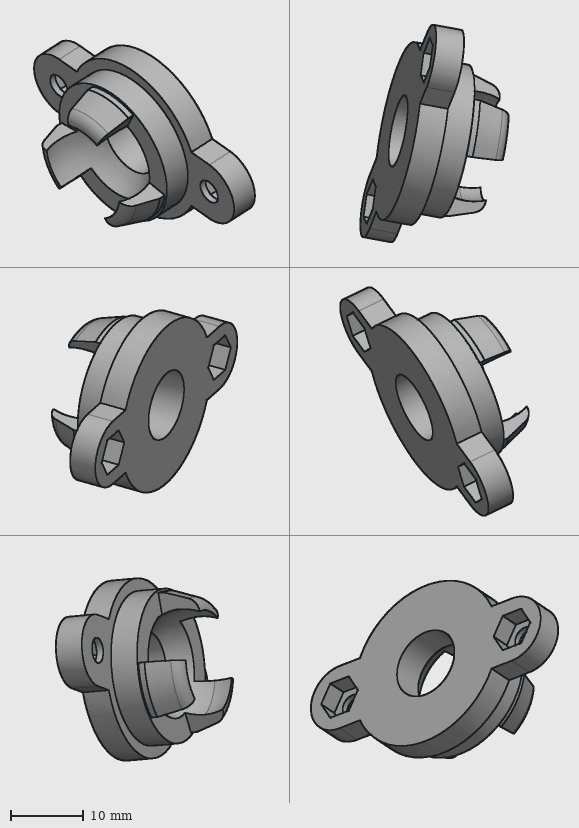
import cadquery as cq
import math

overall_length = 40.0
ear_radius = 5.0
ear_center = overall_length / 2 - ear_radius
ear_hole_diameter = 3.5
nut_width = 5.5
nut_pocket_depth = 3.0
flange_diameter = 25.0
flange_thickness = 4.0

boss_diameter = 21.5
boss_height = 4.0
bore_diameter = 10.0
boss_face = flange_thickness + boss_height

prong_count = 3
prong_length = 5.75
prong_root_radius = 10.4
prong_straight = 0.9
prong_taper_angle = 18.0
prong_tip_round = 2.0
prong_span_angle = 46.0

socket_radius = 7.85
socket_depth = boss_face + prong_length / 2


def make_nut_pockets():
    """Hexagonal pockets open at the flange back, with two corners along X."""
    nut_corner_diameter = nut_width / math.cos(math.pi / 6)
    pocket = (
        cq.Workplane("XZ")
        .polygon(6, nut_corner_diameter)
        .extrude(nut_pocket_depth)
    )
    left_pocket = pocket.translate((-ear_center, 0, 0))
    right_pocket = pocket.translate((ear_center, 0, 0))
    return left_pocket.union(right_pocket)


def make_flange():
    plate = cq.Workplane("XZ").circle(flange_diameter / 2).extrude(flange_thickness)
    ears = (
        cq.Workplane("XZ")
        .slot2D(overall_length, 2 * ear_radius)
        .extrude(flange_thickness)
    )
    holes = (
        cq.Workplane("XZ")
        .pushPoints([(-ear_center, 0), (ear_center, 0)])
        .circle(ear_hole_diameter / 2)
        .extrude(flange_thickness)
    )
    return plate.union(ears).cut(holes).cut(make_nut_pockets())


def make_boss():
    return (
        cq.Workplane("XZ", origin=(0, -flange_thickness, 0))
        .circle(boss_diameter / 2)
        .extrude(boss_height)
    )


def make_prong_blank():
    """Sector of a tapered, round-nosed body, centered on +Z; its root starts at the boss back."""
    taper = math.radians(prong_taper_angle)
    tip = boss_face + prong_length
    taper_start = boss_face + prong_straight

    arc_center_depth = tip - prong_tip_round
    arc_start_depth = arc_center_depth + prong_tip_round * math.sin(taper)
    arc_start_radius = prong_root_radius - (arc_start_depth - taper_start) * math.tan(taper)
    arc_center_radius = arc_start_radius - prong_tip_round * math.cos(taper)
    arc_middle = (taper + math.pi / 2) / 2
    arc_middle_point = (
        arc_center_radius + prong_tip_round * math.cos(arc_middle),
        -arc_center_depth - prong_tip_round * math.sin(arc_middle),
    )

    return (
        cq.Workplane("XY")
        .moveTo(0, -flange_thickness)
        .lineTo(prong_root_radius, -flange_thickness)
        .lineTo(prong_root_radius, -taper_start)
        .lineTo(arc_start_radius, -arc_start_depth)
        .threePointArc(arc_middle_point, (arc_center_radius, -tip))
        .lineTo(0, -tip)
        .close()
        .revolve(prong_span_angle, (0, 0, 0), (0, 1, 0))
        .rotate((0, 0, 0), (0, 1, 0), -90 - prong_span_angle / 2)
    )


def make_socket():
    bore = cq.Workplane("XZ").circle(bore_diameter / 2).extrude(socket_depth)
    sphere = cq.Workplane("XY").sphere(socket_radius).translate((0, -socket_depth, 0))
    return bore.union(sphere)


result = make_flange().union(make_boss())
prong = make_prong_blank()
for index in range(prong_count):
    turn = index * 360 / prong_count
    result = result.union(prong.rotate((0, 0, 0), (0, 1, 0), turn))
result = result.cut(make_socket())